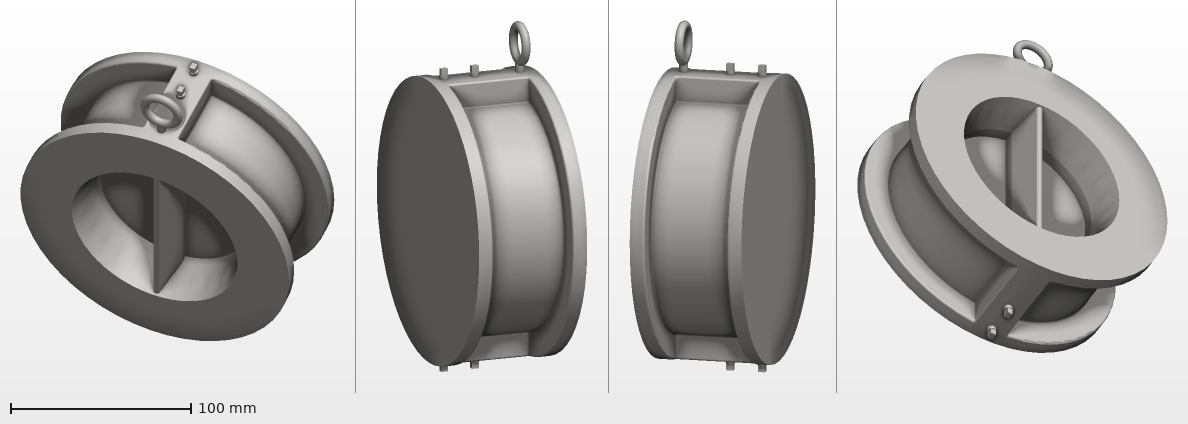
import cadquery as cq


outer_radius = 81.0
body_length = 64.0
flange_thickness = 8.4
waist_radius = 66.5
rib_width = 21.0
fillet_radius = 1.2

tolerance = 0.01

mouth_radius = 50.0
throat_radius = 45.0
cone_depth = 22.0
disc_depth = 28.7

bar_tip_radius = 2.0
bar_tip_depth = 1.2
bar_root_half_width = 6.35

pin_end_offset = 9.3
pin_spacing = 18.2
pin_collar_diameter = 5.0
pin_collar_height = 2.2
pin_height = 6.0
pin_tip_width = 3.0
pin_tip_length = 4.0

eye_wire_diameter = 5.0
eye_mean_radius = 10.0
eye_offset = 9.7
eye_top_height = 28.5

embed_depth = 5.0


def disc(radius, start, length):
    """Cylinder along +Y that begins at y = start."""
    return cq.Workplane("XZ", origin=(0, start, 0)).circle(radius).extrude(-length)


def side_pocket(side):
    """Cutter for the recess between the flanges on one side (side = -1 or +1)."""
    pocket_length = body_length - 2 * flange_thickness
    cutter_radius = outer_radius + 2 * fillet_radius
    ring = disc(cutter_radius, flange_thickness, pocket_length).cut(
        disc(waist_radius, flange_thickness, pocket_length)
    )
    beside_rib = (
        cq.Workplane("XY")
        .box(cutter_radius, body_length, 2 * cutter_radius, centered=(False, False, True))
        .translate((rib_width / 2, 0, 0))
    )
    pocket = ring.intersect(beside_rib)
    inner_region = cq.selectors.BoxSelector(
        (0, 0, -outer_radius), (waist_radius + fillet_radius, body_length, outer_radius)
    )
    pocket = pocket.edges(inner_region).fillet(fillet_radius)
    if side < 0:
        pocket = pocket.mirror("YZ")
    return pocket


def fillet_pocket_rims(body):
    """Round the edges where the pockets break through the outer cylinder."""
    first_rim = flange_thickness - tolerance
    last_rim = body_length - flange_thickness + tolerance
    outer_cylinder = body.faces("%CYLINDER").filter(
        lambda face: abs(face.BoundingBox().zmax - outer_radius) < tolerance
    )
    rim_edges = outer_cylinder.edges().filter(
        lambda edge: first_rim < edge.Center().y < last_rim
    )
    return rim_edges.fillet(fillet_radius)


def make_body():
    """Flanged body with a recess on each side, leaving ribs at top and bottom."""
    body = disc(outer_radius, 0, body_length)
    for side in (-1, 1):
        body = body.cut(side_pocket(side))
    return fillet_pocket_rims(body)


def make_inlet():
    """Conical mouth, then a short straight throat down to the closed discs."""
    profile = [
        (0, 0),
        (mouth_radius, 0),
        (throat_radius, cone_depth),
        (throat_radius, disc_depth),
        (0, disc_depth),
    ]
    return cq.Workplane("XY").polyline(profile).close().revolve(360, (0, 0, 0), (0, 1, 0))


def make_bar():
    """Tapered, round-nosed bar, long enough to cross the whole mouth."""
    nose_end = bar_tip_depth + bar_tip_radius
    return (
        cq.Workplane("XY", origin=(0, 0, -mouth_radius))
        .moveTo(-bar_root_half_width, disc_depth)
        .lineTo(-bar_root_half_width, cone_depth)
        .lineTo(-bar_tip_radius, nose_end)
        .threePointArc((0, bar_tip_depth), (bar_tip_radius, nose_end))
        .lineTo(bar_root_half_width, cone_depth)
        .lineTo(bar_root_half_width, disc_depth)
        .close()
        .extrude(2 * mouth_radius)
    )


def make_pin(offset):
    """Upward pin at y = offset: round collar with a rectangular driving tip."""
    collar = (
        cq.Workplane("XY", origin=(0, offset, outer_radius - embed_depth))
        .circle(pin_collar_diameter / 2)
        .extrude(embed_depth + pin_collar_height)
    )
    return collar.faces(">Z").workplane().rect(pin_tip_width, pin_tip_length).extrude(
        pin_height - pin_collar_height
    )


def make_eye():
    """Lifting ring on a short stem."""
    ring_center_height = eye_top_height - eye_mean_radius - eye_wire_diameter / 2
    stem = (
        cq.Workplane("XY", origin=(0, eye_offset, outer_radius - embed_depth))
        .circle(eye_wire_diameter / 2)
        .extrude(embed_depth + ring_center_height - eye_mean_radius)
    )
    ring = cq.Workplane("XY").add(
        cq.Solid.makeTorus(
            eye_mean_radius,
            eye_wire_diameter / 2,
            cq.Vector(0, eye_offset, outer_radius + ring_center_height),
            cq.Vector(0, 1, 0),
        )
    )
    return stem.union(ring)


def pin_offsets():
    """Positions of the two pins along Y."""
    rear_offset = body_length - pin_end_offset
    return (rear_offset, rear_offset - pin_spacing)


open_inlet = make_inlet().cut(make_bar())
result = make_body().cut(open_inlet).union(make_eye())
for pin_offset in pin_offsets():
    pin = make_pin(pin_offset)
    result = result.union(pin).union(pin.mirror("XY"))